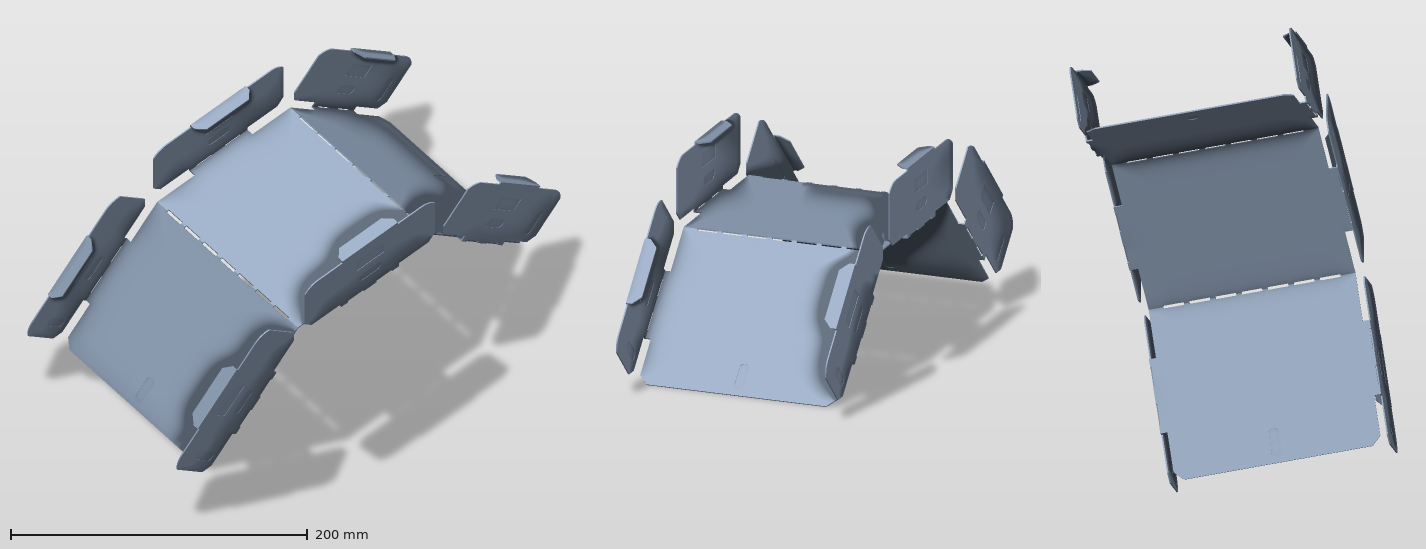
import cadquery as cq
import math

SHEET = 0.97
OUTER_WIDTH = 154.7
NESTING_STEP = 1.18
SEGMENT_LENGTH = 120.0
FOLD_ANGLE = 45.0

FLOOR_HALF_WIDTH = 71.3
FLOOR_CORNER = 6.2
TAB_LENGTH = 52.0

WALL_LENGTH = 117.3
WALL_HEIGHT = 50.0
WALL_SHOULDER_Z = 47.8
MIDDLE_WALL_BOTTOM_Z = 3.5
END_WALL_BOTTOM_Z = 4.5
WALL_CHAMFER = 6.0
WALL_ARC_RADIUS = 15.5
WALL_ARC_DROP = 6.0

FLANGE_LENGTH = 50.0
FLANGE_WIDTH = 10.0
FLANGE_CHAMFER = 6.0

SLIT_LENGTH = 14.2
FOLD_SLIT_DEPTH = 1.5
FOLD_SLIT_COUNT = 7
FOLD_SLIT_PITCH = 18.0
TAB_SLIT_HEIGHT = 1.55
TAB_SLIT_PITCH = 25.5

KNOCKOUT_DEPTH = 0.28
SLOT_LENGTH = 19.7
SLOT_WIDTH = 7.0
WALL_SLOT_Z = 17.0
WINDOW_LENGTH = 25.0
WINDOW_HEIGHT = 10.0
WINDOW_Z = 33.0
END_SLOT_Y = 45.7
END_SLOT_Z = 20.0


def make_floor(half_width):
    """Floor plate, widened at mid-length by the tabs that carry the walls."""
    plate = cq.Workplane("XY").box(2 * FLOOR_HALF_WIDTH, SEGMENT_LENGTH, SHEET, centered=(True, True, False))
    tabs = cq.Workplane("XY").box(2 * half_width, TAB_LENGTH, SHEET, centered=(True, True, False))
    return plate.union(tabs)


def make_wall(half_width, bottom_z):
    """Wall on the -X side, including its tab to the floor and its raised flange base."""
    end = WALL_LENGTH / 2
    arc_run = math.sqrt(WALL_ARC_RADIUS**2 - (WALL_ARC_RADIUS - WALL_ARC_DROP) ** 2)
    arc_start_z = WALL_SHOULDER_Z - WALL_ARC_DROP
    body = (
        cq.Workplane("YZ", origin=(-half_width, 0, 0))
        .moveTo(-end + WALL_CHAMFER, bottom_z)
        .lineTo(end - WALL_CHAMFER, bottom_z)
        .lineTo(end, bottom_z + WALL_CHAMFER)
        .lineTo(end, arc_start_z)
        .radiusArc((end - arc_run, WALL_SHOULDER_Z), -WALL_ARC_RADIUS)
        .lineTo(-end + arc_run, WALL_SHOULDER_Z)
        .radiusArc((-end, arc_start_z), -WALL_ARC_RADIUS)
        .lineTo(-end, bottom_z + WALL_CHAMFER)
        .close()
        .extrude(SHEET)
    )
    corner = cq.Workplane("XY", origin=(-half_width, 0, 0))
    tab = corner.box(SHEET, TAB_LENGTH, bottom_z + SHEET, centered=(False, True, False))
    neck = corner.box(SHEET, FLANGE_LENGTH, WALL_HEIGHT, centered=(False, True, False))
    flange = (
        corner.workplane(offset=WALL_HEIGHT - SHEET)
        .box(FLANGE_WIDTH, FLANGE_LENGTH, SHEET, centered=(False, True, False))
        .edges("|Z and >X")
        .chamfer(FLANGE_CHAMFER)
    )
    return body.union(tab).union(neck).union(flange)


def cut_tab_slits(wall, half_width):
    """Two slits, one sheet deep, along the bend between the wall at -half_width and its floor tab."""
    slits = (
        cq.Workplane("XY", origin=(-half_width, 0, 0))
        .rarray(3.5, TAB_SLIT_PITCH, 1, 2)
        .rect(2 * SHEET, SLIT_LENGTH)
        .extrude(TAB_SLIT_HEIGHT)
    )
    return wall.cut(slits)


def press_into_both_faces(sheet, face_plane, sketch):
    """Recess an outline into the face at face_plane and into the face one sheet further along."""
    for offset in (0, SHEET - KNOCKOUT_DEPTH):
        sheet = sheet.cut(sketch(face_plane.workplane(offset=offset)).extrude(KNOCKOUT_DEPTH))
    return sheet


def press_wall_knockouts(wall, half_width, has_end_slot):
    """Window and slot at mid-length, plus an upright slot near the free end."""
    face = cq.Workplane("YZ", origin=(-half_width, 0, 0))
    wall = press_into_both_faces(
        wall, face, lambda plane: plane.center(0, WINDOW_Z).rect(WINDOW_LENGTH, WINDOW_HEIGHT)
    )
    wall = press_into_both_faces(
        wall, face, lambda plane: plane.center(0, WALL_SLOT_Z).slot2D(SLOT_LENGTH, SLOT_WIDTH)
    )
    if has_end_slot:
        wall = press_into_both_faces(
            wall, face, lambda plane: plane.center(END_SLOT_Y, END_SLOT_Z).slot2D(SLOT_LENGTH, SLOT_WIDTH, 90)
        )
    return wall


def cut_fold_slits(floor, fold_edge_y):
    """Row of notches along a fold edge; facing notches of two floors make slits through the fold."""
    slits = (
        cq.Workplane("XY", origin=(0, fold_edge_y, 0))
        .rarray(FOLD_SLIT_PITCH, 3.5, FOLD_SLIT_COUNT, 1)
        .rect(SLIT_LENGTH, 2 * FOLD_SLIT_DEPTH)
        .extrude(SHEET)
    )
    return floor.cut(slits)


def make_segment(half_width, is_end):
    """One channel segment; an end segment has its free end towards +Y."""
    floor = make_floor(half_width)
    floor = cut_fold_slits(floor, -SEGMENT_LENGTH / 2)
    if is_end:
        floor = floor.edges("|Z and >Y").chamfer(FLOOR_CORNER)
        floor = press_into_both_faces(
            floor,
            cq.Workplane("XY"),
            lambda plane: plane.center(0, END_SLOT_Y).slot2D(SLOT_LENGTH, SLOT_WIDTH, 90),
        )
    else:
        floor = cut_fold_slits(floor, SEGMENT_LENGTH / 2)
    wall = make_wall(half_width, END_WALL_BOTTOM_Z if is_end else MIDDLE_WALL_BOTTOM_Z)
    wall = press_wall_knockouts(wall, half_width, is_end)
    segment = floor.union(wall).union(wall.mirror("YZ"))
    segment = cut_tab_slits(segment, half_width)
    return cut_tab_slits(segment, -half_width)


fold_y = SEGMENT_LENGTH / 2
middle = make_segment(OUTER_WIDTH / 2, is_end=False)
end_segment = (
    make_segment(OUTER_WIDTH / 2 - NESTING_STEP, is_end=True)
    .translate((0, fold_y + SEGMENT_LENGTH / 2, 0))
    .rotate((0, fold_y, SHEET), (1, fold_y, SHEET), -FOLD_ANGLE)
)
result = middle
for end in (end_segment, end_segment.mirror("XZ")):
    result = result.union(end)